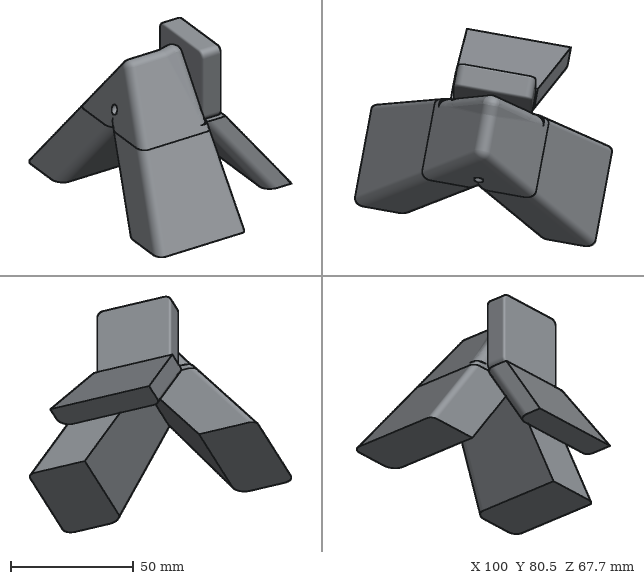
import cadquery as cq
import math

half_span = 50.0
leg_width = 25.0
lean = 0.75
joint_height = 35.13
front_foot = 43.03
front_lean = 0.25
edge_radius = 4.0
leg_back_radius = 2.5
apex_height = half_span / lean
inner_foot = half_span - leg_width
inner_apex_height = inner_foot / lean

rim_depth = 9.65
rim_rise = 2.2
rim_joint_depth = 2.4
blend_height = 2.5

hole_diameter = 3.81
hole_height = 43.35
hole_depth = 20.0
hole_rise = 15.0

rear_foot_near = 25.0
rear_foot_far = 37.5
rear_left = 17.6
rear_right_foot = 25.7
rear_right_lean = 0.256
rear_left_radius = 2.5
rear_right_radius = 4.0

box_side = 32.53
box_depth = 9.6
box_corner_radius = 3.0
box_edge_radius = 1.0


def front_y(height):
    """Y of the sloping front face at a height."""
    return front_lean * height - front_foot


def edges_near(body, points):
    """The edges of a body whose middles lie closest to the points."""
    found = [body.edges(cq.selectors.NearestToPointSelector(point)).val() for point in points]
    return body.newObject(found)


def mirrored(point):
    """A point and its twin on the other side of the middle plane."""
    x, y, z = point
    return [(-x, y, z), (x, y, z)]


def slab(bottom, top):
    """A block that takes in the frame between two heights."""
    block = cq.Workplane("XY", origin=(0, 0, bottom))
    return block.rect(2 * half_span, 2 * front_foot).extrude(top - bottom)


def make_sharp_frame():
    """The frame before rounding, with both legs and the hub in one piece."""
    outline = [
        (-half_span, 0),
        (0, apex_height),
        (half_span, 0),
        (inner_foot, 0),
        (0, inner_apex_height),
        (-inner_foot, 0),
    ]
    side = [
        (0, 0),
        (front_y(0), 0),
        (front_y(apex_height), apex_height),
        (0, apex_height),
    ]
    prism = cq.Workplane("XZ").polyline(outline).close().extrude(front_foot)
    wedge = cq.Workplane("YZ").polyline(side).close().extrude(half_span, both=True)
    return prism.intersect(wedge)


def front_edge_middles():
    """Middles of the outer and inner edges of the front face."""
    outer = (half_span / 2, (front_y(0) + front_y(apex_height)) / 2, apex_height / 2)
    inner = (inner_foot / 2, (front_y(0) + front_y(inner_apex_height)) / 2, inner_apex_height / 2)
    return mirrored(outer) + mirrored(inner)


def round_back(body, radius):
    """Round the back edges; the two slopes and the ridge form one smooth chain."""
    return edges_near(body, [(half_span / 2, 0, apex_height / 2)]).fillet(radius)


def make_rounded_frame():
    frame = make_sharp_frame()
    ridge_middle = (0, front_y(apex_height) / 2, apex_height)
    frame = edges_near(frame, [ridge_middle] + front_edge_middles()).fillet(edge_radius)
    return round_back(frame, leg_back_radius)


def rim_crease_end():
    """Point on the back face where the crease between rim and frame runs out."""
    joint_half_width = half_span - lean * joint_height
    reach = rim_depth / (rim_depth - rim_joint_depth)
    return (joint_half_width * reach, 0, apex_height - (apex_height - joint_height) * reach)


def make_sharp_rim():
    """Gable whose ridge rises to the back and whose slopes bulge out of the frame."""
    end_x, _, end_z = rim_crease_end()
    rim_top = apex_height + rim_rise
    front_half_width = end_x * (apex_height - end_z) / (rim_top - end_z)
    back_gable = [(-end_x, end_z), (0, rim_top), (end_x, end_z)]
    front_gable = [(-front_half_width, end_z), (0, apex_height), (front_half_width, end_z)]
    return (
        cq.Workplane("XZ")
        .polyline(back_gable)
        .close()
        .workplane(offset=rim_depth)
        .polyline(front_gable)
        .close()
        .loft(ruled=True)
    )


def make_hole():
    """Cutter for the rising hole, started a little outside the front face."""
    rise = math.radians(hole_rise)
    axis = cq.Vector(0, math.cos(rise), math.sin(rise))
    mouth = cq.Vector(0, front_y(hole_height), hole_height)
    overshoot = hole_diameter
    start = mouth - axis * overshoot
    return cq.Workplane(cq.Solid.makeCylinder(hole_diameter / 2, hole_depth + overshoot, start, axis))


def make_front_legs(frame):
    return frame.intersect(slab(0, joint_height))


def make_hub(frame):
    hub = make_sharp_frame().union(make_sharp_rim())
    end_x, _, end_z = rim_crease_end()
    crease_middle = (end_x / 2, -rim_depth / 2, (apex_height + end_z) / 2)
    ridge_middle = (0, (front_y(apex_height) - rim_depth) / 2, apex_height)
    rim_ridge_middle = (0, -rim_depth / 2, apex_height + rim_rise / 2)
    middles = [ridge_middle, rim_ridge_middle] + mirrored(crease_middle) + front_edge_middles()
    hub = edges_near(hub, middles).fillet(edge_radius)
    hub = round_back(hub, edge_radius)
    hub = hub.intersect(slab(joint_height, apex_height + rim_rise))
    blend = frame.intersect(slab(joint_height, joint_height + blend_height))
    return hub.union(blend).cut(make_hole())


def make_rear_leg():
    right_top = rear_right_foot - rear_right_lean * joint_height
    front = [
        (-rear_left, 0),
        (rear_right_foot, 0),
        (right_top, joint_height),
        (-rear_left, joint_height),
    ]
    underside_top = rear_foot_near / lean
    side = [
        (rear_foot_near, 0),
        (rear_foot_far, 0),
        (rear_foot_far - lean * joint_height, joint_height),
        (0, joint_height),
        (0, underside_top),
    ]
    upright = cq.Workplane("XZ").polyline(front).close().extrude(-rear_foot_far)
    sloping = cq.Workplane("YZ").polyline(side).close().extrude(half_span, both=True)
    leg = upright.intersect(sloping)
    middle_y = rear_foot_near / 2
    middle_z = underside_top / 2
    left_edge = (-rear_left, middle_y, middle_z)
    right_edge = (rear_right_foot - rear_right_lean * middle_z, middle_y, middle_z)
    leg = edges_near(leg, [left_edge]).fillet(rear_left_radius)
    return edges_near(leg, [right_edge]).fillet(rear_right_radius)


def make_camera_box():
    middle = (0, 0, joint_height + box_side / 2)
    box = cq.Workplane("XZ", origin=middle).rect(box_side, box_side).extrude(-box_depth)
    box = box.edges("|Y").fillet(box_corner_radius)
    return box.faces("<Y or >Y").edges().fillet(box_edge_radius)


rounded_frame = make_rounded_frame()
front_legs = make_front_legs(rounded_frame)
hub = make_hub(rounded_frame)
rear_leg = make_rear_leg()
camera_box = make_camera_box()

result = cq.Compound.makeCompound(
    [body.solids().val() for body in (front_legs, hub, rear_leg, camera_box)]
)